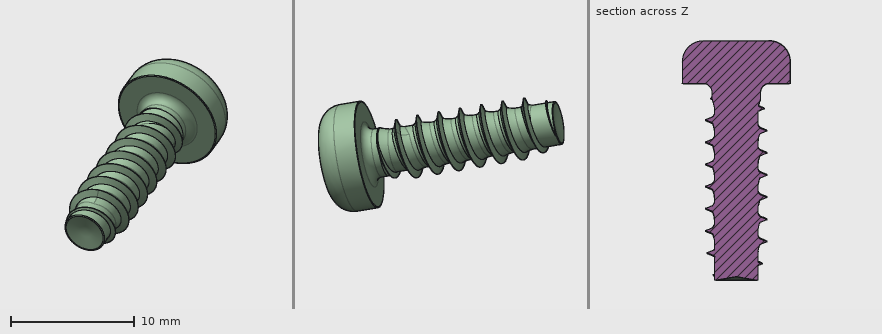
import cadquery as cq
import math

length = 19.49

head_radius = 4.4
head_height = 3.5
dome_radius = 1.73
rim_chamfer_axial = 0.04
rim_chamfer_radial = 0.1
neck_radius = 1.99
neck_fillet = 0.7
neck_end_depth = 4.75

core_radius = 1.77
core_start_depth = 5.55
relief_sag = 0.02
tip_chamfer_axial = 0.04
tip_chamfer_radial = 0.12
dish_depth = 0.3

pitch_count = 5
pitch_count_length = 9.0
pitch = pitch_count_length / pitch_count
crest_radius = 2.51
crest_half_width = 0.02
flank_half_width = 0.25
root_radius = 1.93
head_flare = 0.31
tip_flare = 0.88
flare_sag = 0.03
foot_radius = 1.75
buried_radius = 1.46
thread_start_depth = 4.2
thread_clear_depth = 4.72
run_in_turns = 1.25
full_turns = 5.75
run_out_turns = 1.45
run_out_start = run_in_turns + full_turns
sections_per_turn = 16


def sagged_middle(start, end, sag):
    """Middle of a shallow arc between two (radius, axial) points, bowed towards the axis by sag."""
    return ((start[0] + end[0]) / 2 - sag, (start[1] + end[1]) / 2)


def body_of_revolution():
    """Domed head, filleted neck and core, revolved from a (radius, depth) half outline."""
    diagonal = math.cos(math.radians(45))

    def point(radius, depth):
        return (radius, length / 2 - depth)

    neck_end = (neck_radius, neck_end_depth)
    core_start = (core_radius, core_start_depth)
    relief_middle = sagged_middle(neck_end, core_start, relief_sag)
    dome_offset = dome_radius * (1 - diagonal)
    fillet_offset = neck_fillet * (1 - diagonal)
    outline = (
        cq.Workplane("XY")
        .moveTo(*point(0, 0))
        .lineTo(*point(head_radius - dome_radius, 0))
        .threePointArc(point(head_radius - dome_offset, dome_offset), point(head_radius, dome_radius))
        .lineTo(*point(head_radius, head_height - rim_chamfer_axial))
        .lineTo(*point(head_radius - rim_chamfer_radial, head_height))
        .lineTo(*point(neck_radius + neck_fillet, head_height))
        .threePointArc(
            point(neck_radius + fillet_offset, head_height + fillet_offset),
            point(neck_radius, head_height + neck_fillet),
        )
        .lineTo(*point(*neck_end))
        .threePointArc(point(*relief_middle), point(*core_start))
        .lineTo(*point(core_radius, length))
        .lineTo(*point(0, length))
        .close()
    )
    return outline.revolve(360, (0, 0), (0, 1))


def thread_sink(turn):
    """How far the thread section is sunk towards the axis after the given number of turns."""
    if turn < run_in_turns:
        return (crest_radius - neck_radius) * (1 - turn / run_in_turns)
    if turn > run_out_start:
        return (crest_radius - core_radius) * (turn - run_out_start) / run_out_turns
    return 0.0


def thread_section(turn):
    """Closed thread section in the plane through the axis; the turn starts at +Z and passes -X first."""
    angle = math.tau * turn
    sink = thread_sink(turn)
    depth = max(thread_start_depth + pitch * turn, thread_clear_depth)

    def place(radius, offset):
        sunk_radius = radius - sink
        y = length / 2 - depth - offset
        return cq.Vector(-sunk_radius * math.sin(angle), y, sunk_radius * math.cos(angle))

    head_foot = (foot_radius, -flank_half_width - head_flare)
    head_root = (root_radius, -flank_half_width)
    tip_root = (root_radius, flank_half_width)
    tip_foot = (foot_radius, flank_half_width + tip_flare)
    head_middle = sagged_middle(head_foot, head_root, flare_sag)
    tip_middle = sagged_middle(tip_root, tip_foot, flare_sag)
    head_crest = (crest_radius, -crest_half_width)
    tip_crest = (crest_radius, crest_half_width)
    head_base = (buried_radius, head_foot[1])
    tip_base = (buried_radius, tip_foot[1])

    def line(start, end):
        return cq.Edge.makeLine(place(*start), place(*end))

    def arc(start, middle, end):
        return cq.Edge.makeThreePointArc(place(*start), place(*middle), place(*end))

    return cq.Wire.assembleEdges([
        line(head_base, head_foot),
        arc(head_foot, head_middle, head_root),
        line(head_root, head_crest),
        line(head_crest, tip_crest),
        line(tip_crest, tip_root),
        arc(tip_root, tip_middle, tip_foot),
        line(tip_foot, tip_base),
        line(tip_base, head_base),
    ])


def thread_piece(first_turn, turns):
    """Smooth loft through evenly spaced thread sections."""
    steps = math.ceil(turns * sections_per_turn)
    sections = [thread_section(first_turn + turns * step / steps) for step in range(steps + 1)]
    return cq.Workplane(cq.Solid.makeLoft(sections))


def tip_trim():
    """Cutter that squares the tip, chamfers its edge and leaves a shallow conical dish."""
    tip_y = -length / 2
    rim_radius = core_radius - tip_chamfer_radial
    return (
        cq.Workplane("XY")
        .moveTo(0, tip_y + dish_depth)
        .lineTo(rim_radius, tip_y)
        .lineTo(core_radius, tip_y + tip_chamfer_axial)
        .lineTo(head_radius, tip_y + tip_chamfer_axial)
        .lineTo(head_radius, tip_y - pitch)
        .lineTo(0, tip_y - pitch)
        .close()
        .revolve(360, (0, 0), (0, 1))
    )


result = body_of_revolution()
for first_turn, turns in (
    (0, run_in_turns),
    (run_in_turns, full_turns),
    (run_out_start, run_out_turns),
):
    result = result.union(thread_piece(first_turn, turns), clean=False)
result = result.cut(tip_trim(), clean=False)